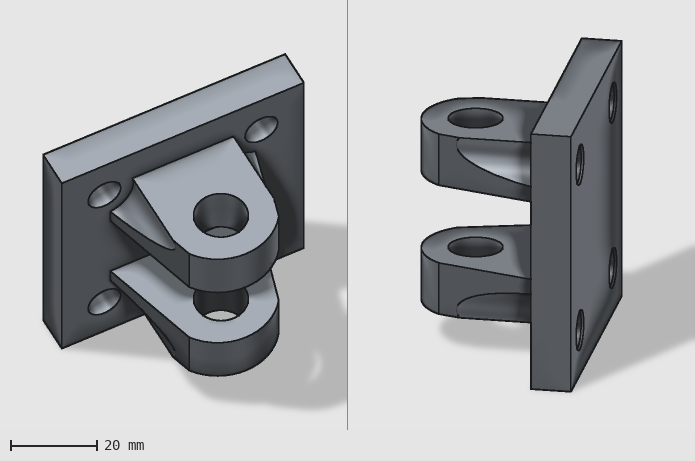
import cadquery as cq

plate_size = 63.5
plate_thickness = 9.45

bolt_offset = 20.6
bolt_hole_diameter = 8.5
bolt_chamfer = 0.5
chamfer_angle = 45
head_clearance_radius = 7.55

lug_inner_z = 9.65
lug_outer_z = 22.4
lug_root_half_width = 19.05
lug_shoulder_x = 35.1
lug_shoulder_half_width = 11.75
lug_tip_x = 41.2
pin_x = 28.6
pin_hole_diameter = 12.7

bolt_places = [(y, z) for y in (-bolt_offset, bolt_offset) for z in (-bolt_offset, bolt_offset)]


def make_plate():
    return cq.Workplane("YZ").rect(plate_size, plate_size).extrude(plate_thickness)


def make_lug(bottom_z):
    return (
        cq.Workplane("XY", origin=(0, 0, bottom_z))
        .moveTo(plate_thickness, -lug_root_half_width)
        .lineTo(lug_shoulder_x, -lug_shoulder_half_width)
        .threePointArc((lug_tip_x, 0), (lug_shoulder_x, lug_shoulder_half_width))
        .lineTo(plate_thickness, lug_root_half_width)
        .close()
        .moveTo(pin_x, 0)
        .circle(pin_hole_diameter / 2)
        .extrude(lug_outer_z - lug_inner_z)
    )


def make_head_clearances():
    """Cylinders in front of the plate that leave room for the bolt heads."""
    return (
        cq.Workplane("YZ", origin=(plate_thickness, 0, 0))
        .pushPoints(bolt_places)
        .circle(head_clearance_radius)
        .extrude(lug_tip_x - plate_thickness)
    )


def make_bolt_holes():
    """Bolt bores with a shallow countersink at the back face."""
    hole_radius = bolt_hole_diameter / 2
    bores = cq.Workplane("YZ").pushPoints(bolt_places).circle(hole_radius).extrude(plate_thickness)
    countersinks = (
        cq.Workplane("YZ")
        .pushPoints(bolt_places)
        .circle(hole_radius + bolt_chamfer)
        .extrude(bolt_chamfer, taper=chamfer_angle)
    )
    return bores.union(countersinks)


lugs = make_lug(lug_inner_z).union(make_lug(-lug_outer_z))
lugs = lugs.cut(make_head_clearances())
result = make_plate().union(lugs).cut(make_bolt_holes())